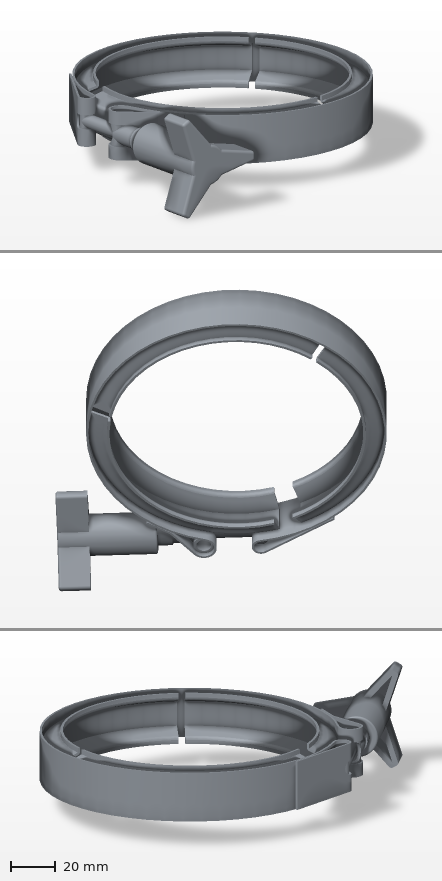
import cadquery as cq
import math


full_turn = 360.0
half_turn = full_turn / 2

band_outer_radius = 67.5
sheet_thickness = 1.0
band_half_height = 11.3
band_inner_radius = band_outer_radius - sheet_thickness
strap_face_radius = band_outer_radius + sheet_thickness

segment_count = 3
segment_span = 115.0
segment_pitch = 118.0
first_segment_angle = -94.9
profile_thickness = 1.1
profile_bend_radius = 1.6
web_corner_height = 6.5
flange_slope = 20.0
lip_inner_radius = 57.0
lip_half_height = 11.8

bolt_axis_angle = 9.9
rod_diameter = 6.2
bolt_head_diameter = rod_diameter
bolt_head_top_diameter = 5.4
bolt_head_half_height = 6.5
rod_end = 77.0

bolt_loop_bore = 6.4
bolt_loop_radius = bolt_loop_bore / 2 + sheet_thickness
bolt_loop_distance = band_inner_radius + bolt_loop_radius
bolt_loop_x = 4.0
bolt_loop_y = -math.sqrt(bolt_loop_distance**2 - bolt_loop_x**2)
bolt_loop_angle = math.degrees(math.atan2(bolt_loop_y, bolt_loop_x))
bolt_strap_overhang = 7.4
bolt_slot_width = 6.7
bolt_slot_center = -1.3

trunnion_position = 25.7
trunnion_x = bolt_loop_x + trunnion_position * math.cos(math.radians(bolt_axis_angle))
trunnion_y = bolt_loop_y + trunnion_position * math.sin(math.radians(bolt_axis_angle))
trunnion_angle = math.degrees(math.atan2(trunnion_y, trunnion_x))
trunnion_diameter = 9.5
trunnion_bore = 6.7
trunnion_half_height = 9.2
sleeve_diameter = 9.8
sleeve_bore = 6.4
sleeve_end = 39.8
collar_diameter = 11.5
collar_end = 44.5

trunnion_loop_radius = trunnion_diameter / 2 + sheet_thickness
trunnion_slot_half_height = 5.2
sleeve_clearance = 0.2
trunnion_strap_angle = -47.4
trunnion_strap_overhang = 6.7
trunnion_strap_bend = -5.5

band_span = full_turn + bolt_loop_angle - trunnion_angle

hub_diameter = 19.0
hub_start = 46.5
knob_end = 91.3
hub_edge_fillet = 0.8
boss_diameter = collar_diameter
wing_count = 3
wing_start = 77.0
wing_tip_radius = 25.7
wing_root_half_width = 7.5
wing_tip_half_width = 2.1
wing_tip_fillet = 1.3
knob_end_fillet = 1.3
pocket_root_half_width = 5.0
pocket_tip_radius = 23.5
pocket_depth = 11.5


def polar(radius, degrees):
    angle = math.radians(degrees)
    return (radius * math.cos(angle), radius * math.sin(angle))


def tangent_point(radius, degrees, offset):
    """Point on the tangent to a circle about the Z axis, offset counterclockwise from contact."""
    x, y = polar(radius, degrees)
    dx, dy = polar(offset, degrees + 90)
    return (x + dx, y + dy)


def place_on_bolt(body):
    """Move a body built along +X from the origin onto the bolt axis."""
    turned = body.rotate((0, 0, 0), (0, 0, 1), bolt_axis_angle)
    return turned.translate((bolt_loop_x, bolt_loop_y, 0))


def rod_along_x(diameter, start, end):
    return cq.Workplane("YZ").workplane(offset=start).circle(diameter / 2).extrude(end - start)


def upright(diameter, half_height):
    return cq.Workplane("XY").circle(diameter / 2).extrude(half_height, both=True)


def block(start, end, side_start, side_end, half_height):
    return (
        cq.Workplane("XY")
        .moveTo((start + end) / 2, (side_start + side_end) / 2)
        .rect(end - start, side_end - side_start)
        .extrude(half_height, both=True)
    )


def make_band():
    ring = (
        cq.Workplane("XZ")
        .moveTo((band_inner_radius + band_outer_radius) / 2, 0)
        .rect(sheet_thickness, 2 * band_half_height)
        .revolve(band_span, (0, 0, 0), (0, 1, 0))
    )
    return ring.rotate((0, 0, 0), (0, 0, 1), trunnion_angle)


def make_segment(start_angle):
    slope = math.radians(flange_slope)
    flange_shift = profile_thickness / math.cos(slope)
    web_inner = band_inner_radius - profile_thickness
    lip_outer = lip_inner_radius + profile_thickness

    def outer_height(radius):
        return web_corner_height + (band_inner_radius - radius) * math.tan(slope)

    def inner_height(radius):
        return outer_height(radius) - flange_shift

    upper = [
        (band_inner_radius, web_corner_height),
        (lip_outer, outer_height(lip_outer)),
        (lip_outer, lip_half_height),
        (lip_inner_radius, lip_half_height),
        (lip_inner_radius, inner_height(lip_inner_radius)),
        (web_inner, inner_height(web_inner)),
    ]
    lower = [(radius, -height) for radius, height in reversed(upper)]
    solid = (
        cq.Workplane("XZ")
        .polyline(upper + lower)
        .close()
        .revolve(segment_span, (0, 0, 0), (0, 1, 0))
    )

    def at_bend(edge):
        point = edge.startPoint()
        radius = math.hypot(point.x, point.y)
        bends = (upper[0], upper[4])
        return edge.geomType() == "CIRCLE" and any(
            math.hypot(radius - r, abs(point.z) - z) < profile_thickness / 10 for r, z in bends
        )

    bend_edges = [edge for edge in solid.edges().vals() if at_bend(edge)]
    solid = solid.newObject(bend_edges).fillet(profile_bend_radius)
    return solid.rotate((0, 0, 0), (0, 0, 1), start_angle)


def make_strap(outline):
    return cq.Workplane("XY").polyline(outline).close().extrude(band_half_height, both=True)


def make_hook(bore, start_angle, end_angle, center):
    """Part of a rolled tube, running counterclockwise between two angles about its own axis."""
    hook = (
        cq.Workplane("XZ")
        .moveTo((bore + sheet_thickness) / 2, 0)
        .rect(sheet_thickness, 2 * band_half_height)
        .revolve(end_angle - start_angle, (0, 0, 0), (0, 1, 0))
    )
    return hook.rotate((0, 0, 0), (0, 0, 1), start_angle).translate(center)


def make_bolt_loop():
    lean = math.acos((strap_face_radius - bolt_loop_radius) / bolt_loop_distance)
    normal_angle = bolt_loop_angle - math.degrees(lean)
    reach = bolt_loop_distance * math.sin(lean)
    strap = make_strap([
        tangent_point(strap_face_radius, normal_angle, -bolt_strap_overhang),
        tangent_point(strap_face_radius, normal_angle, reach),
        tangent_point(band_outer_radius, normal_angle, reach),
        tangent_point(band_outer_radius, normal_angle, -bolt_strap_overhang),
    ])

    center = (bolt_loop_x, bolt_loop_y, 0)
    hook = make_hook(bolt_loop_bore, normal_angle, bolt_loop_angle + half_turn, center)

    half_width = bolt_slot_width / 2
    slot = block(bolt_slot_center, bolt_slot_width, -bolt_slot_width, half_width, half_width)
    slot_end = (
        cq.Workplane("XZ", origin=(bolt_slot_center, half_width, 0))
        .circle(half_width)
        .extrude(half_width + bolt_slot_width)
    )
    return strap.union(hook).cut(place_on_bolt(slot.union(slot_end)))


def make_trunnion_loop():
    bend_outer = tangent_point(strap_face_radius, trunnion_strap_angle, trunnion_strap_bend)
    bend_inner = tangent_point(band_outer_radius, trunnion_strap_angle, trunnion_strap_bend)
    away_x = bend_outer[0] - trunnion_x
    away_y = bend_outer[1] - trunnion_y
    opening = math.acos(trunnion_loop_radius / math.hypot(away_x, away_y))
    contact_angle = math.degrees(math.atan2(away_y, away_x) - opening)
    outer_x, outer_y = polar(trunnion_loop_radius, contact_angle)
    inner_x, inner_y = polar(trunnion_loop_radius - sheet_thickness, contact_angle)
    strap = make_strap([
        tangent_point(strap_face_radius, trunnion_strap_angle, trunnion_strap_overhang),
        bend_outer,
        (trunnion_x + outer_x, trunnion_y + outer_y),
        (trunnion_x + inner_x, trunnion_y + inner_y),
        bend_inner,
        tangent_point(band_outer_radius, trunnion_strap_angle, trunnion_strap_overhang),
    ])

    hook = make_hook(
        trunnion_diameter,
        trunnion_angle + half_turn,
        contact_angle + full_turn,
        (trunnion_x, trunnion_y, 0),
    )

    slot = block(
        trunnion_position - sleeve_diameter,
        sleeve_end,
        -sleeve_diameter,
        sleeve_diameter / 2 + sleeve_clearance,
        trunnion_slot_half_height,
    )
    return strap.union(hook).cut(place_on_bolt(slot))


def make_tee_bolt():
    head_chamfer = (bolt_head_diameter - bolt_head_top_diameter) / 2
    head = upright(bolt_head_diameter, bolt_head_half_height).faces("|Z").edges().chamfer(head_chamfer)
    rod = rod_along_x(rod_diameter, 0, rod_end)
    return place_on_bolt(head.union(rod))


def make_trunnion():
    center = (trunnion_position, 0, 0)
    tube = upright(trunnion_diameter, trunnion_half_height).translate(center)
    sleeve = rod_along_x(sleeve_diameter, trunnion_position, sleeve_end)
    upright_bore = upright(trunnion_bore, trunnion_half_height).translate(center)
    collar = rod_along_x(collar_diameter, sleeve_end, collar_end)
    rod_bore = rod_along_x(sleeve_bore, trunnion_position, collar_end)

    opening = (
        cq.Workplane("XZ")
        .center(trunnion_position - trunnion_diameter / 2, 0)
        .circle(trunnion_diameter / 2)
        .extrude(trunnion_diameter, both=True)
    )
    tee = tube.union(sleeve).union(collar)
    return place_on_bolt(tee.cut(upright_bore).cut(rod_bore).cut(opening))


def make_wing():
    blade = (
        cq.Workplane("YZ", origin=(wing_start, 0, 0))
        .polyline([
            (0, -wing_root_half_width),
            (wing_tip_radius, -wing_tip_half_width),
            (wing_tip_radius, wing_tip_half_width),
            (0, wing_root_half_width),
        ])
        .close()
        .extrude(knob_end - wing_start)
    )
    blade = blade.faces(">Y").edges("|X").fillet(wing_tip_fillet)
    blade = blade.faces(">X").edges("not <Y").fillet(knob_end_fillet)
    pocket = (
        cq.Workplane("YZ", origin=(wing_start, 0, 0))
        .polyline([
            (0, -pocket_root_half_width),
            (pocket_tip_radius, 0),
            (0, pocket_root_half_width),
        ])
        .close()
        .extrude(pocket_depth)
    )
    return blade.cut(pocket)


def make_knob():
    knob = rod_along_x(hub_diameter, hub_start, knob_end)
    knob = knob.faces("<X").edges().fillet(hub_edge_fillet)
    knob = knob.faces(">X").edges().fillet(knob_end_fillet)
    wing = make_wing()
    for index in range(wing_count):
        knob = knob.union(wing.rotate((0, 0, 0), (1, 0, 0), index * full_turn / wing_count))
    boss = rod_along_x(boss_diameter, collar_end, hub_start)
    bore = rod_along_x(rod_diameter, collar_end, rod_end)
    return place_on_bolt(knob.union(boss).cut(bore))


band = make_band()
segments = [make_segment(first_segment_angle + i * segment_pitch) for i in range(segment_count)]
bolt_loop = make_bolt_loop()
trunnion_loop = make_trunnion_loop()
tee_bolt = make_tee_bolt()
trunnion = make_trunnion()
knob = make_knob()

result = cq.Compound.makeCompound([
    band.val(),
    *[segment.val() for segment in segments],
    bolt_loop.val(),
    trunnion_loop.val(),
    tee_bolt.val(),
    trunnion.val(),
    knob.val(),
])